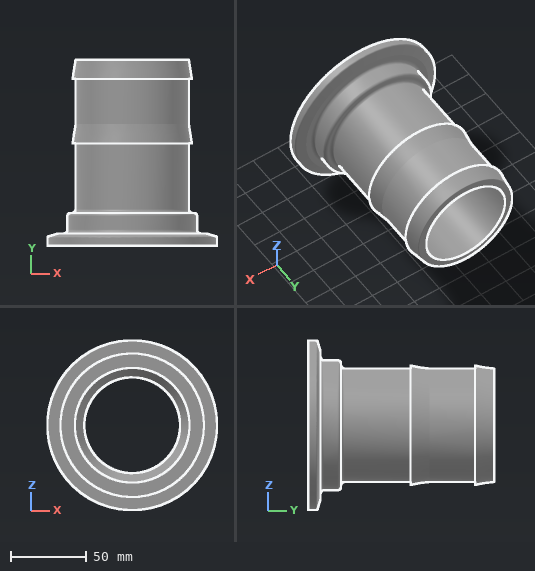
import cadquery as cq


length = 123.5

flange_diameter = 112.8
rim_height = 6.0
flange_height = 8.3
flange_back_diameter = 98.3
rim_round = 1.2

hub_diameter = 86.4
hub_end = 21.8
hub_round = 2.2

tube_diameter = 75.4
barb_diameter = 79.4
barb_length = 12.7
barb_pitch = 42.8
barb_count = 2
tip_round = 0.5

recess_diameter = 95.3
recess_depth = 2.7
mouth_diameter = 76.2
mouth_length = 10.9
bore_diameter = 63.5


def revolve_outline(points):
    """Solid of revolution about the Y axis from (radius, Y) points."""
    return cq.Workplane("XY").polyline(points).close().revolve(360, (0, 0, 0), (0, 1, 0))


def frustum(start_diameter, end_diameter, start, end):
    """Cone or cylinder along the Y axis between two Y positions."""
    return revolve_outline(
        [(0, start), (start_diameter / 2, start), (end_diameter / 2, end), (0, end)]
    )


def round_edges(body, position, largest_diameter, radius):
    """Fillet every circular edge at a Y position, up to the given diameter."""
    margin = 0.01
    reach = largest_diameter / 2 + margin
    edges_at_position = cq.selectors.BoxSelector(
        (-reach, position - margin, -reach),
        (reach, position + margin, reach),
        boundingbox=True,
    )
    return body.edges(edges_at_position).fillet(radius)


def make_flanged_tube():
    """Flange, hub and plain hose tube, still solid inside."""
    body = revolve_outline(
        [
            (0, 0),
            (flange_diameter / 2, 0),
            (flange_diameter / 2, rim_height),
            (flange_back_diameter / 2, flange_height),
            (hub_diameter / 2, flange_height),
            (hub_diameter / 2, hub_end),
            (tube_diameter / 2, hub_end),
            (tube_diameter / 2, length),
            (0, length),
        ]
    )
    body = round_edges(body, rim_height, flange_diameter, rim_round)
    body = round_edges(body, flange_height, hub_diameter, hub_round)
    return round_edges(body, hub_end, hub_diameter, hub_round)


def add_barbs(body):
    """Barbs that widen from the tube diameter away from the hose end."""
    for index in range(barb_count):
        barb_tip = length - index * barb_pitch
        barb_back = barb_tip - barb_length
        body = body.union(frustum(barb_diameter, tube_diameter, barb_back, barb_tip))
    return round_edges(body, length, tube_diameter, tip_round)


def cut_inside(body):
    """Recess in the flange face, tapered mouth and through bore."""
    mouth_end = recess_depth + mouth_length
    body = body.cut(frustum(recess_diameter, recess_diameter, 0, recess_depth))
    body = body.cut(frustum(mouth_diameter, bore_diameter, recess_depth, mouth_end))
    return body.cut(frustum(bore_diameter, bore_diameter, 0, length))


result = cut_inside(add_barbs(make_flanged_tube()))